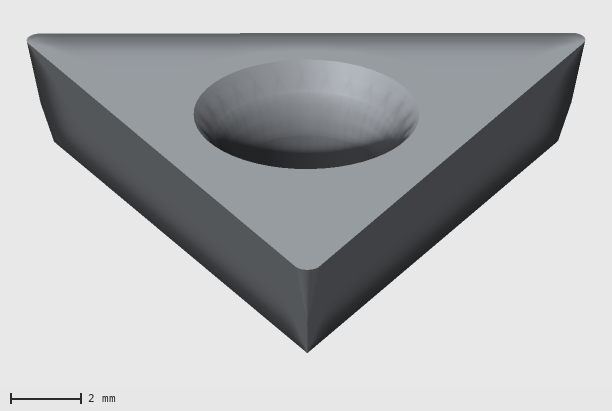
import cadquery as cq
import math

LENGTH = 15.91
THICKNESS = 3.18
NOSE_RADIUS = 0.4
RELIEF_ANGLE = 11.0

HOLE_RADIUS = 2.18
MOUTH_RADIUS = 3.21
BLEND_MOUTH_RADIUS = 2.61
SEAT_HALF_ANGLE = 40.0

nose_depth = NOSE_RADIUS / math.tan(math.radians(RELIEF_ANGLE))
sharp_side = LENGTH - 2 * NOSE_RADIUS
sharp_circumradius = sharp_side / math.sqrt(3)


def sharp_triangle(z):
    """Equilateral triangle through the nose axes, centred on the hole, one corner toward +Y."""
    half_side = sharp_side / 2
    base_y = -sharp_circumradius / 2
    corners = [(-half_side, base_y), (half_side, base_y), (0, sharp_circumradius)]
    return cq.Workplane("XY", origin=(0, 0, z)).polyline(corners).close()


def insert_body():
    """Flanks lean in toward the bottom, with cones rounding the upper corners."""
    kink_z = THICKNESS - nose_depth
    upper = sharp_triangle(kink_z).extrude(nose_depth, taper=-RELIEF_ANGLE)
    lower = sharp_triangle(kink_z).extrude(-kink_z, taper=RELIEF_ANGLE)
    return upper.union(lower).clean()


def screw_hole():
    """Conical seat that an arc blends tangentially into the straight bore."""
    seat_angle = math.radians(SEAT_HALF_ANGLE)
    seat_depth = (MOUTH_RADIUS - BLEND_MOUTH_RADIUS) / math.tan(seat_angle)
    blend_radius = (BLEND_MOUTH_RADIUS - HOLE_RADIUS) / (1 - math.cos(seat_angle))
    blend_top_z = THICKNESS - seat_depth
    bore_top_z = blend_top_z - blend_radius * math.sin(seat_angle)
    blend_middle = (
        HOLE_RADIUS + blend_radius * (1 - math.cos(seat_angle / 2)),
        bore_top_z + blend_radius * math.sin(seat_angle / 2),
    )
    return (
        cq.Workplane("XZ")
        .moveTo(0, 0)
        .lineTo(HOLE_RADIUS, 0)
        .lineTo(HOLE_RADIUS, bore_top_z)
        .threePointArc(blend_middle, (BLEND_MOUTH_RADIUS, blend_top_z))
        .lineTo(MOUTH_RADIUS, THICKNESS)
        .lineTo(0, THICKNESS)
        .close()
        .revolve(360, (0, 0, 0), (0, 1, 0))
    )


result = insert_body().cut(screw_hole())